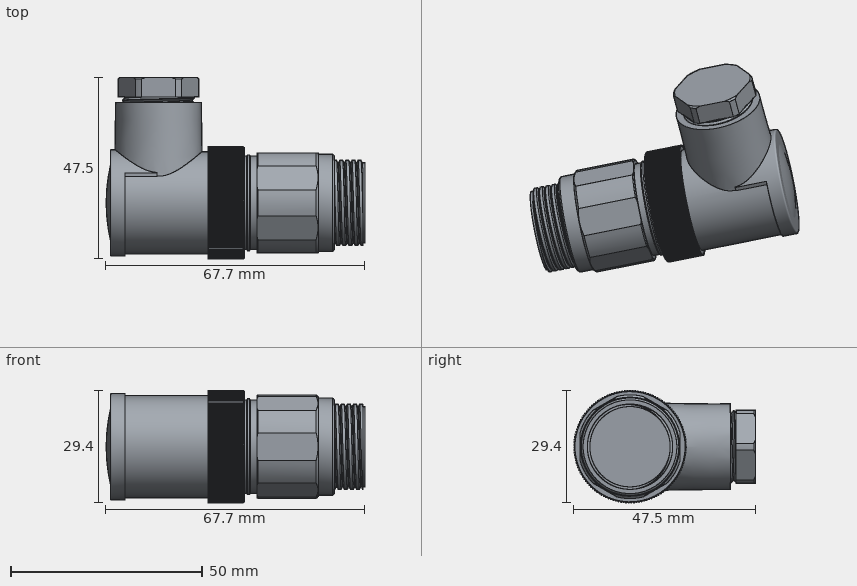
import cadquery as cq
import math


total_length = 67.73
total_width = 47.5

dome_height = 1.1
dome_radius = 9.75
cap_radius = 13.93
cap_end_x = 5.0
cap_edge = 0.45

body_radius = 13.4
ring_start_x = 26.65
ring_end_x = 36.15
ring_radius = 14.7
knurl_depth = 0.25
knurl_count = 135
crest_share = 0.3
foot_share = 0.7
ring_chamfer = 0.3

neck_radius = 24.5 / 2
bead_radius = 12.55
bead_start_x = 36.7
bead_end_x = 37.75
bead_chamfer = bead_radius - neck_radius

wrench_start_x = 39.4
wrench_end_x = 55.5
wrench_flats = 26.15
wrench_radius = 13.57
wrench_chamfer = 0.6
wrench_back_chamfer = 0.3
collar_radius = 12.75
collar_end_x = 59.7
collar_chamfer = 0.5

thread_core_radius = 10.5
thread_radius = 11.15
thread_pitch = 1.6
thread_crest = 0.75
thread_root = 1.4
thread_end_x = 67.1
thread_first_x = 57.85

outlet_x = 13.7
outlet_base_radius = 11.53
outlet_top_radius = 11.25
outlet_end_y = 26.25
shoulder_end_x = 13.35

nut_start_y = 27.7
nut_end_y = total_width - ring_radius
nut_flats = 19.1
nut_radius = 10.55
nut_chamfer = 0.45
gland_core_radius = 8.85
gland_thread_radius = 9.45
gland_pitch = 1.5
gland_crest = 0.15
gland_root = 1.2
gland_first_y = 24.5
gland_turns = 3

overlap = 0.3
thread_sink = 0.1


def cylinder_x(start, end, radius):
    """Cylinder along the main axis."""
    return cq.Workplane("YZ", origin=(start, 0, 0)).circle(radius).extrude(end - start)


def outlet_plane(y):
    """Plane across the outlet axis, facing +Y, with its local x along the part's X."""
    return cq.Workplane(cq.Plane(origin=(outlet_x, y, 0), xDir=(1, 0, 0), normal=(0, 1, 0)))


def hexagon_diameter(flats):
    """Diameter over the corners of a hexagon with this size across flats."""
    return flats / math.cos(math.pi / 6)


def helical_ridge(pitch, turns, core_radius, crest_radius, crest_width, root_width):
    """Right-handed thread ridge around Z whose first crest starts at Z = 0 on the +X side."""
    flank_slope = (root_width - crest_width) / (crest_radius - core_radius)
    foot_radius = core_radius - thread_sink
    foot_width = root_width + flank_slope * thread_sink
    path = cq.Wire.makeHelix(pitch, pitch * turns, foot_radius)
    profile = cq.Workplane("XZ").polyline(
        [
            (foot_radius, -foot_width / 2),
            (crest_radius, -crest_width / 2),
            (crest_radius, crest_width / 2),
            (foot_radius, foot_width / 2),
        ]
    ).close()
    return profile.sweep(cq.Workplane(path), isFrenet=True)


def make_cap():
    """Domed cap whose rim runs on as a shoulder under the cable outlet."""
    rim = cylinder_x(dome_height, shoulder_end_x, cap_radius).faces("<X").edges().fillet(cap_edge)
    flange_zone = cylinder_x(dome_height, cap_end_x, cap_radius + overlap)
    shoulder_zone = cq.Workplane("XY", origin=(dome_height, 0, 0)).box(
        shoulder_end_x - dome_height,
        cap_radius + overlap,
        2 * outlet_base_radius,
        centered=(False, False, True),
    )
    rim = rim.intersect(flange_zone.union(shoulder_zone))
    sphere_radius = (dome_radius**2 + dome_height**2) / (2 * dome_height)
    dome = cq.Workplane("YZ", origin=(sphere_radius, 0, 0)).sphere(sphere_radius)
    dome = dome.intersect(cylinder_x(0, dome_height + overlap, dome_radius))
    return rim.union(dome)


def make_knurled_ring():
    """Straight-knurled ring with trapezoidal teeth and a chamfered +X edge."""
    outline = []
    pitch_angle = 2 * math.pi / knurl_count
    root_radius = ring_radius - knurl_depth
    for i in range(knurl_count):
        middle = math.pi / 2 + i * pitch_angle
        for radius, share in (
            (root_radius, -foot_share / 2),
            (ring_radius, -crest_share / 2),
            (ring_radius, crest_share / 2),
            (root_radius, foot_share / 2),
        ):
            angle = middle + share * pitch_angle
            outline.append((radius * math.cos(angle), radius * math.sin(angle)))
    ring = cq.Workplane("YZ", origin=(ring_start_x, 0, 0)).polyline(outline).close()
    ring = ring.extrude(ring_end_x - ring_start_x)
    blank = cylinder_x(ring_start_x, ring_end_x, ring_radius)
    return ring.intersect(blank.faces(">X").edges().chamfer(ring_chamfer))


def make_neck():
    """Neck between ring and wrench section, with its bead."""
    neck = cylinder_x(ring_end_x - overlap, wrench_start_x + overlap, neck_radius)
    bead = cylinder_x(bead_start_x, bead_end_x, bead_radius).edges().chamfer(bead_chamfer)
    return neck.union(bead)


def make_wrench_section():
    """Hexagon with rounded corners and flats on +-Y, followed by the round collar."""
    length = wrench_end_x - wrench_start_x
    blank = cylinder_x(wrench_start_x, wrench_end_x, wrench_radius)
    blank = blank.faces(">X").edges().chamfer(wrench_chamfer)
    blank = blank.faces("<X").edges().chamfer(wrench_back_chamfer)
    hexagon = cq.Workplane("YZ", origin=(wrench_start_x, 0, 0))
    hexagon = hexagon.transformed(rotate=(0, 0, 30)).polygon(6, hexagon_diameter(wrench_flats))
    collar = cylinder_x(wrench_end_x - overlap, collar_end_x, collar_radius)
    collar = collar.faces(">X").edges().chamfer(collar_chamfer)
    return hexagon.extrude(length).intersect(blank).union(collar)


def make_threaded_end():
    """Threaded spigot with a plain lead at its tip."""
    core = cylinder_x(collar_end_x - overlap, total_length, thread_core_radius)
    turns = math.ceil((total_length - thread_first_x) / thread_pitch)
    ridge = helical_ridge(
        thread_pitch, turns, thread_core_radius, thread_radius, thread_crest, thread_root
    )
    ridge = ridge.rotate((0, 0, 0), (0, 1, 0), 90).translate((thread_first_x, 0, 0))
    limit = cylinder_x(collar_end_x - overlap, thread_end_x, thread_radius + overlap)
    return core.union(ridge.intersect(limit))


def make_outlet():
    """Slightly tapered outlet tube, rising from the main axis."""
    tube = outlet_plane(0).circle(outlet_base_radius)
    return tube.workplane(offset=outlet_end_y).circle(outlet_top_radius).loft()


def make_gland_nut():
    """Hexagon nut with turned corners, on a threaded stem."""
    height = nut_end_y - nut_start_y
    blank = outlet_plane(nut_start_y).circle(nut_radius).extrude(height)
    blank = blank.faces(">Y").edges().chamfer(nut_chamfer)
    nut = outlet_plane(nut_start_y).polygon(6, hexagon_diameter(nut_flats)).extrude(height)
    nut = nut.intersect(blank)
    stem_start = outlet_end_y - overlap
    stem_length = nut_start_y + overlap - stem_start
    stem = outlet_plane(stem_start).circle(gland_core_radius).extrude(stem_length)
    ridge = helical_ridge(
        gland_pitch, gland_turns, gland_core_radius, gland_thread_radius, gland_crest, gland_root
    )
    ridge = ridge.rotate((0, 0, 0), (1, 0, 0), -90).translate((outlet_x, gland_first_y, 0))
    limit = outlet_plane(stem_start).circle(gland_thread_radius + overlap).extrude(stem_length)
    return stem.union(ridge.intersect(limit)).union(nut)


body = cylinder_x(cap_end_x - overlap, ring_start_x + overlap, body_radius)
result = (
    body.union(make_cap())
    .union(make_outlet())
    .union(make_knurled_ring())
    .union(make_neck())
    .union(make_wrench_section())
    .union(make_threaded_end())
    .union(make_gland_nut())
)